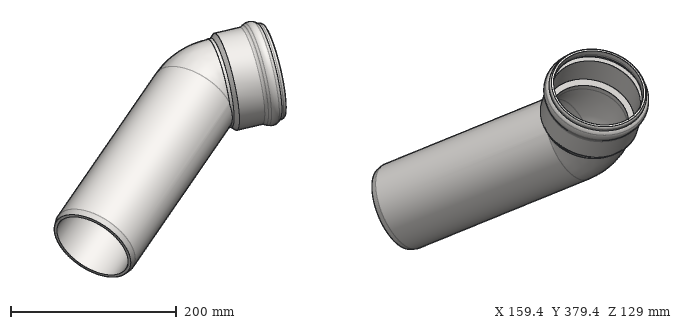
import cadquery as cq
import math

pipe_radius = 55.0
bore_radius = 49.0
pipe_length = 254.5
end_chamfer_length = 7.2
end_chamfer_depth = 2.3

bend_radius = 49.5
bend_angle = 45.0

neck_radius = 55.5
neck_length = 4.0
body_radius = 60.5
body_start = 9.5
body_end = 41.5
rim_blend_end = 45.5
rim_blend_radius = 62.0
rim_start = 49.0
rim_end = 58.8
rim_edge_radius = 63.5
rim_peak_radius = 64.5
lip_start = 63.0
lip_end = 65.3
lip_radius = 60.0
mouth_outer_radius = 58.0
socket_length = 69.0

socket_bore_radius = 55.5
shoulder_start = 7.2
shoulder_end = 11.5
groove_radius = 59.5
groove_start = 48.5
groove_floor_start = 51.2
groove_floor_end = 58.0
groove_end = 59.0
lip_bore_radius = 110.5 / 2
lip_bore_end = 62.2


def revolve_about_y(points):
    """Turn a (radius, distance along Y) profile around the Y axis."""
    return cq.Workplane("XY").polyline(points).close().revolve(360, (0, 0), (0, 1))


def revolve_bend(section):
    """Turn a section at the bend inlet around the turning axis of the bend."""
    return section.revolve(bend_angle, (bend_radius, 0), (bend_radius, -1))


def bend_outside():
    """Solid elbow; its section stops at the turning axis, which lies inside the pipe radius."""
    half_chord = math.sqrt(pipe_radius**2 - bend_radius**2)
    section = cq.Workplane("XZ").moveTo(bend_radius, half_chord)
    section = section.threePointArc((-pipe_radius, 0), (bend_radius, -half_chord)).close()
    return revolve_bend(section)


def bend_bore():
    """Passage through the elbow."""
    return revolve_bend(cq.Workplane("XZ").circle(bore_radius))


def place_on_bend_end(shape):
    """Move a shape built along +Y from the origin to the outlet of the bend."""
    turn_centre = (bend_radius, 0, 0)
    return shape.rotate(turn_centre, (bend_radius, 0, 1), -bend_angle)


pipe = revolve_about_y([
    (0, -pipe_length),
    (pipe_radius - end_chamfer_depth, -pipe_length),
    (pipe_radius, end_chamfer_length - pipe_length),
    (pipe_radius, 0),
    (0, 0),
])
socket_profile = (
    cq.Workplane("XY")
    .lineTo(neck_radius, 0)
    .lineTo(neck_radius, neck_length)
    .lineTo(body_radius, body_start)
    .lineTo(body_radius, body_end)
    .tangentArcPoint((rim_blend_radius, rim_blend_end), relative=False)
    .lineTo(rim_edge_radius, rim_start)
    .threePointArc((rim_peak_radius, (rim_start + rim_end) / 2), (rim_edge_radius, rim_end))
    .tangentArcPoint((lip_radius, lip_start), relative=False)
    .lineTo(lip_radius, lip_end)
    .tangentArcPoint((mouth_outer_radius, socket_length), relative=False)
    .lineTo(0, socket_length)
    .close()
)
socket = socket_profile.revolve(360, (0, 0), (0, 1))

pipe_bore = cq.Workplane("XZ").circle(bore_radius).extrude(pipe_length)
socket_bore = revolve_about_y([
    (0, 0),
    (bore_radius, 0),
    (bore_radius, shoulder_start),
    (socket_bore_radius, shoulder_end),
    (socket_bore_radius, groove_start),
    (groove_radius, groove_floor_start),
    (groove_radius, groove_floor_end),
    (lip_bore_radius, groove_end),
    (lip_bore_radius, lip_bore_end),
    (socket_bore_radius, socket_length),
    (0, socket_length),
])

outside = pipe.union(bend_outside()).union(place_on_bend_end(socket))
result = outside.cut(pipe_bore).cut(bend_bore()).cut(place_on_bend_end(socket_bore))